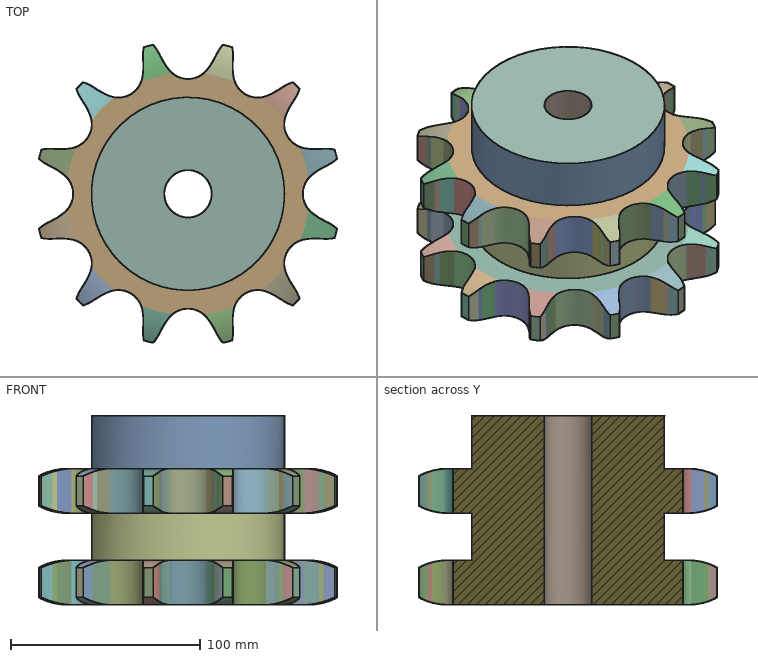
import cadquery as cq
import math


overall_width = 157.7
overall_height = 100.0
hub_diameter = 102.0
bore_diameter = 25.0

tooth_count = 12
pitch_diameter = 147.2
roller_diameter = 25.4
seat_clearance = 0.08
plate_thickness = 23.7
strand_spacing = 48.5
tip_thickness = 15.8

half_pitch_angle = 180 / tooth_count
seat_angle = 35 + 60 / tooth_count
working_angle = 18 - 56 / tooth_count
topping_angle = 17 - 64 / tooth_count
working_offset = 0.8 * roller_diameter
topping_offset = 1.4 * roller_diameter

pitch_radius = pitch_diameter / 2
chain_pitch = pitch_diameter * math.sin(math.radians(half_pitch_angle))
seat_radius = (1.005 * roller_diameter + seat_clearance) / 2
working_radius = working_offset + seat_radius
flat_length = (
    topping_offset * math.sin(math.radians(topping_angle))
    - working_offset * math.sin(math.radians(working_angle))
)


def offset(point, distance, angle):
    """Point moved by a distance in the direction of an angle in degrees."""
    turn = math.radians(angle)
    return (point[0] + distance * math.cos(turn), point[1] + distance * math.sin(turn))


def arc_middle(centre, start, end):
    """Middle point of the short arc from start to end about centre."""
    chord_middle = ((start[0] + end[0]) / 2, (start[1] + end[1]) / 2)
    direction = math.atan2(chord_middle[1] - centre[1], chord_middle[0] - centre[0])
    return offset(centre, math.dist(centre, start), math.degrees(direction))


seat_centre = (pitch_radius, 0)
gap_bottom = (pitch_radius - seat_radius, 0)

seat_end = offset(seat_centre, seat_radius, 90 + seat_angle)
working_centre = offset(seat_centre, working_offset, seat_angle - 90)
flat_angle = seat_angle - working_angle
working_end = offset(working_centre, working_radius, 90 + flat_angle)
working_middle = arc_middle(working_centre, seat_end, working_end)
flat_end = offset(working_end, flat_length, flat_angle)

topping_centre = offset(seat_centre, topping_offset, 90 + half_pitch_angle)
topping_radius = math.dist(topping_centre, flat_end)

tip_x = overall_width / 2
tip_y = topping_centre[1] - math.sqrt(topping_radius**2 - (tip_x - topping_centre[0])**2)
tip_corner = (tip_x, tip_y)
topping_middle = arc_middle(topping_centre, flat_end, tip_corner)
tip_radius = math.hypot(tip_x, tip_y)

relief_radius = chain_pitch
relief_depth = (plate_thickness - tip_thickness) / 2
relief_length = math.sqrt(relief_radius**2 - (relief_radius - relief_depth)**2)
relief_start = tip_radius - relief_length


def mirrored(point):
    """Point mirrored across the centre line of the +X gap."""
    return (point[0], -point[1])


def turned(point, angle):
    """Point turned about the sprocket axis by an angle in degrees."""
    own_angle = math.degrees(math.atan2(point[1], point[0]))
    return offset((0, 0), math.hypot(*point), own_angle + angle)


def add_gap(outline, angle):
    """Append one tooth gap and the tooth tip that follows it, turned to the given angle."""

    def add_arc(middle, end):
        return outline.threePointArc(turned(middle, angle), turned(end, angle))

    outline = add_arc(mirrored(topping_middle), mirrored(flat_end))
    outline = outline.lineTo(*turned(mirrored(working_end), angle))
    outline = add_arc(mirrored(working_middle), mirrored(seat_end))
    outline = add_arc(gap_bottom, seat_end)
    outline = add_arc(working_middle, working_end)
    outline = outline.lineTo(*turned(flat_end, angle))
    outline = add_arc(topping_middle, tip_corner)
    tip_middle = offset((0, 0), tip_radius, half_pitch_angle)
    next_corner = turned(mirrored(tip_corner), 2 * half_pitch_angle)
    return add_arc(tip_middle, next_corner)


def tooth_outline():
    """Closed outline of all teeth, gap by gap and counterclockwise."""
    outline = cq.Workplane("XY").moveTo(*mirrored(tip_corner))
    for gap in range(tooth_count):
        outline = add_gap(outline, gap * 2 * half_pitch_angle)
    return outline.close()


def relieved_disc():
    """Disc with the rim relief on both faces, standing on the XY plane."""
    middle_z = plate_thickness / 2
    upper_tip = (tip_radius, middle_z + tip_thickness / 2)
    lower_tip = (tip_radius, middle_z - tip_thickness / 2)
    upper_start = (relief_start, plate_thickness)
    lower_start = (relief_start, 0)
    upper_centre = (relief_start, plate_thickness - relief_radius)
    lower_centre = (relief_start, relief_radius)
    return (
        cq.Workplane("XZ")
        .lineTo(*lower_start)
        .threePointArc(arc_middle(lower_centre, lower_start, lower_tip), lower_tip)
        .lineTo(*upper_tip)
        .threePointArc(arc_middle(upper_centre, upper_tip, upper_start), upper_start)
        .lineTo(0, plate_thickness)
        .close()
        .revolve(360, (0, 0, 0), (0, 1, 0))
    )


def toothed_plate():
    """Sprocket plate with its lower face on the XY plane."""
    return tooth_outline().extrude(plate_thickness).intersect(relieved_disc())


hub = cq.Workplane("XY").circle(hub_diameter / 2).extrude(overall_height)
bore = cq.Workplane("XY").circle(bore_diameter / 2).extrude(overall_height)
plate = toothed_plate()

result = hub.union(plate).union(plate.translate((0, 0, strand_spacing))).cut(bore)